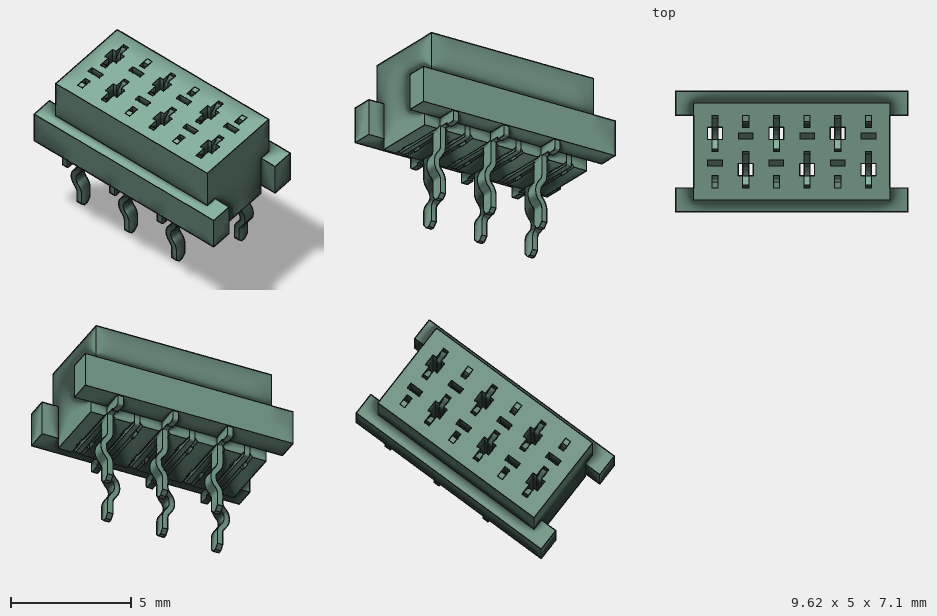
import cadquery as cq
import math


BODY_LENGTH = 8.12
BODY_WIDTH = 4.01
BODY_HEIGHT = 4.01
LOWER_WIDTH = 3.0
RAIL_LENGTH = 9.62
RAIL_SPAN = 5.0
RAIL_BOTTOM = 0.5
RAIL_TOP = 2.09

CONTACT_COUNT = 6
CONTACT_PITCH = 1.27

SHEET = 0.25
BASE_HEIGHT = RAIL_BOTTOM
PLATE_END = LOWER_WIDTH / 2
FOOT_END = RAIL_SPAN / 2
FOOT_LENGTH = 0.5
FOOT_TOP_RADIUS = 0.08
BOTTOM_RADIUS = 0.11
UNDERCUT = 0.1
NECK_RADIUS = 0.05

FORK_WIDTH = PLATE_END
FORK_MIDDLE = FORK_WIDTH / 2
FORK_ROOT = 1.0
FORK_TOP = BODY_HEIGHT
TINE_TAPER = 0.11
LEAD_IN_WIDTH = 0.33
LEAD_IN_ANGLE = math.radians(47)
TIP_RADIUS = 0.21
GAP_FLOOR_HALF = 0.08
GAP_CORNER_RADIUS = 0.31

TAIL_WIDTH = 0.5
TAIL_INNER = PLATE_END - TAIL_WIDTH
TAIL_SLOPE_ANGLE = math.radians(75.5)

LEG_Y = -1.27
LEG_WIDTH = 0.56
LEG_LENGTH = 3.09
LEG_STRAIGHT = 0.76
BEND_RADIUS = 0.58
BEND_ANGLE = math.radians(43)
TIP_FLAT = 0.18
TIP_TAPER_HEIGHT = 0.19

WINDOW_LENGTH = 0.61
WINDOW_WIDTH = 0.5
POCKET_WIDTH = 0.25
FRONT_POCKET_Y = -0.48
BACK_POCKET_Y = 0.635
POCKET_DEPTH = 1.0
GROOVE_DEPTH = 0.15
GROOVE_CHAMFER = 0.13


def block(x_size, y_min, y_max, z_min, z_max):
    """Box centred on X = 0 with the given Y and Z limits."""
    return cq.Workplane("XY").box(
        x_size, y_max - y_min, z_max - z_min, centered=(True, False, False)
    ).translate((0, y_min, z_min))


def contact_x(index):
    return (index - (CONTACT_COUNT - 1) / 2) * CONTACT_PITCH


def arrange(shape, index):
    """Move a shape to its contact place; every second one is turned to face the other row."""
    turn = 180 * (index % 2)
    return shape.rotate((0, 0, 0), (0, 0, 1), turn).translate((contact_x(index), 0, 0))


def make_plate_outline():
    """Foot, base, fork and tail of a contact as one closed outline in the YZ plane."""
    corner = math.sqrt(0.5)
    bottom_mid = BOTTOM_RADIUS * (1 - corner)
    top_mid = FOOT_TOP_RADIUS * (1 - corner)
    neck_mid = NECK_RADIUS * (1 - corner)
    leg_outer = LEG_Y - LEG_WIDTH / 2

    outer_top = FORK_WIDTH / 2 - TINE_TAPER
    lead_end = outer_top - LEAD_IN_WIDTH
    lead_end_z = FORK_TOP - LEAD_IN_WIDTH * math.tan(LEAD_IN_ANGLE)
    tip = lead_end - TIP_RADIUS * (1 - math.sin(LEAD_IN_ANGLE))
    tip_z = lead_end_z - TIP_RADIUS * math.cos(LEAD_IN_ANGLE)
    tip_centre = tip + TIP_RADIUS
    half_turn = (LEAD_IN_ANGLE + math.pi / 2) / 2
    tip_mid = tip_centre - TIP_RADIUS * math.sin(half_turn)
    tip_mid_z = tip_z + TIP_RADIUS * math.cos(half_turn)
    gap_half = GAP_FLOOR_HALF + GAP_CORNER_RADIUS
    gap_mid = GAP_FLOOR_HALF + GAP_CORNER_RADIUS * corner
    gap_mid_z = FORK_ROOT + GAP_CORNER_RADIUS * (1 - corner)
    gap_side_z = FORK_ROOT + GAP_CORNER_RADIUS

    tail_middle = -PLATE_END + TAIL_WIDTH / 2
    tail_drop = TAIL_WIDTH / 2 * math.tan(TAIL_SLOPE_ANGLE)

    return (
        cq.Workplane("YZ")
        .moveTo(-FOOT_END + BOTTOM_RADIUS, 0)
        .lineTo(-FOOT_END + FOOT_LENGTH, 0)
        .lineTo(-FOOT_END + FOOT_LENGTH, UNDERCUT)
        .lineTo(leg_outer - NECK_RADIUS, UNDERCUT)
        .threePointArc(
            (leg_outer - neck_mid, UNDERCUT - neck_mid), (leg_outer, UNDERCUT - NECK_RADIUS)
        )
        .lineTo(leg_outer, 0)
        .lineTo(PLATE_END - BOTTOM_RADIUS, 0)
        .threePointArc((PLATE_END - bottom_mid, bottom_mid), (PLATE_END, BOTTOM_RADIUS))
        .lineTo(PLATE_END, FORK_ROOT)
        .lineTo(FORK_MIDDLE + outer_top, FORK_TOP)
        .lineTo(FORK_MIDDLE + lead_end, lead_end_z)
        .threePointArc((FORK_MIDDLE + tip_mid, tip_mid_z), (FORK_MIDDLE + tip, tip_z))
        .lineTo(FORK_MIDDLE + gap_half, gap_side_z)
        .threePointArc((FORK_MIDDLE + gap_mid, gap_mid_z), (FORK_MIDDLE + GAP_FLOOR_HALF, FORK_ROOT))
        .lineTo(FORK_MIDDLE - GAP_FLOOR_HALF, FORK_ROOT)
        .threePointArc((FORK_MIDDLE - gap_mid, gap_mid_z), (FORK_MIDDLE - gap_half, gap_side_z))
        .lineTo(FORK_MIDDLE - tip, tip_z)
        .threePointArc((FORK_MIDDLE - tip_mid, tip_mid_z), (FORK_MIDDLE - lead_end, lead_end_z))
        .lineTo(FORK_MIDDLE - outer_top, FORK_TOP)
        .lineTo(0, FORK_ROOT)
        .lineTo(0, BASE_HEIGHT)
        .lineTo(-TAIL_INNER, BASE_HEIGHT)
        .lineTo(-TAIL_INNER, BODY_HEIGHT - tail_drop)
        .lineTo(tail_middle, BODY_HEIGHT)
        .lineTo(-PLATE_END, BODY_HEIGHT)
        .lineTo(-PLATE_END, BASE_HEIGHT)
        .lineTo(-FOOT_END + FOOT_TOP_RADIUS, BASE_HEIGHT)
        .threePointArc(
            (-FOOT_END + top_mid, BASE_HEIGHT - top_mid), (-FOOT_END, BASE_HEIGHT - FOOT_TOP_RADIUS)
        )
        .lineTo(-FOOT_END, BOTTOM_RADIUS)
        .threePointArc((-FOOT_END + bottom_mid, bottom_mid), (-FOOT_END + BOTTOM_RADIUS, 0))
        .close()
    )


def make_leg():
    """Kinked solder leg that bulges towards -X and ends in a tapered tip."""
    side_shift = BEND_RADIUS * (1 - math.cos(BEND_ANGLE))
    bend_drop = BEND_RADIUS * math.sin(BEND_ANGLE)
    half_shift = BEND_RADIUS * (1 - math.cos(BEND_ANGLE / 2))
    half_drop = BEND_RADIUS * math.sin(BEND_ANGLE / 2)
    kink_end = LEG_STRAIGHT + 4 * bend_drop
    path = (
        cq.Workplane("XZ")
        .moveTo(0, 0)
        .lineTo(0, -LEG_STRAIGHT)
        .threePointArc((-half_shift, -LEG_STRAIGHT - half_drop), (-side_shift, -LEG_STRAIGHT - bend_drop))
        .threePointArc(
            (-2 * side_shift, -LEG_STRAIGHT - 2 * bend_drop), (-side_shift, -LEG_STRAIGHT - 3 * bend_drop)
        )
        .threePointArc((-half_shift, -kink_end + half_drop), (0, -kink_end))
        .lineTo(0, -LEG_LENGTH)
    )
    strip = cq.Workplane("XY").rect(SHEET, LEG_WIDTH).sweep(path).translate((0, LEG_Y, 0))

    taper_top = -LEG_LENGTH + TIP_TAPER_HEIGHT
    side_outline = [
        (LEG_Y - LEG_WIDTH / 2, 0),
        (LEG_Y - LEG_WIDTH / 2, taper_top),
        (LEG_Y - TIP_FLAT / 2, -LEG_LENGTH),
        (LEG_Y + TIP_FLAT / 2, -LEG_LENGTH),
        (LEG_Y + LEG_WIDTH / 2, taper_top),
        (LEG_Y + LEG_WIDTH / 2, 0),
    ]
    envelope = cq.Workplane("YZ").polyline(side_outline).close().extrude(CONTACT_PITCH, both=True)
    return strip.intersect(envelope)


def make_contact():
    plate = make_plate_outline().extrude(SHEET / 2, both=True)
    return plate.union(make_leg()).clean()


def make_contact_opening():
    """Slots for one contact, the window for its mating pin and the chamfered groove underneath."""
    base_slot = block(SHEET, -PLATE_END, PLATE_END, 0, BASE_HEIGHT)
    fork_slot = block(SHEET, 0, PLATE_END, 0, BODY_HEIGHT)
    tail_slot = block(SHEET, -PLATE_END, -TAIL_INNER, 0, BODY_HEIGHT)
    window = block(
        WINDOW_LENGTH, FORK_MIDDLE - WINDOW_WIDTH / 2, FORK_MIDDLE + WINDOW_WIDTH / 2, 0, BODY_HEIGHT
    )
    groove_outline = [
        (-SHEET / 2 - GROOVE_CHAMFER, 0),
        (-SHEET / 2, GROOVE_DEPTH),
        (SHEET / 2, GROOVE_DEPTH),
        (SHEET / 2 + GROOVE_CHAMFER, 0),
    ]
    groove = cq.Workplane("XZ").polyline(groove_outline).close().extrude(LOWER_WIDTH / 2, both=True)
    return base_slot.union(fork_slot).union(tail_slot).union(window).union(groove)


def make_pocket(index):
    """Blind rectangular pocket in the top face, in line with one contact."""
    y = FRONT_POCKET_Y if index % 2 == 0 else BACK_POCKET_Y
    pocket = block(
        WINDOW_LENGTH,
        y - POCKET_WIDTH / 2,
        y + POCKET_WIDTH / 2,
        BODY_HEIGHT - POCKET_DEPTH,
        BODY_HEIGHT,
    )
    return pocket.translate((contact_x(index), 0, 0))


def make_housing():
    lower_body = block(BODY_LENGTH, -LOWER_WIDTH / 2, LOWER_WIDTH / 2, 0, RAIL_TOP)
    upper_body = block(BODY_LENGTH, -BODY_WIDTH / 2, BODY_WIDTH / 2, RAIL_TOP, BODY_HEIGHT)
    front_rail = block(RAIL_LENGTH, -RAIL_SPAN / 2, -LOWER_WIDTH / 2, RAIL_BOTTOM, RAIL_TOP)
    back_rail = block(RAIL_LENGTH, LOWER_WIDTH / 2, RAIL_SPAN / 2, RAIL_BOTTOM, RAIL_TOP)
    housing = lower_body.union(upper_body).union(front_rail).union(back_rail)
    for index in range(CONTACT_COUNT):
        housing = housing.cut(arrange(make_contact_opening(), index)).cut(make_pocket(index))
    return housing


housing = make_housing()
contacts = [arrange(make_contact(), index).solids().val() for index in range(CONTACT_COUNT)]

result = cq.Compound.makeCompound([housing.solids().val(), *contacts])